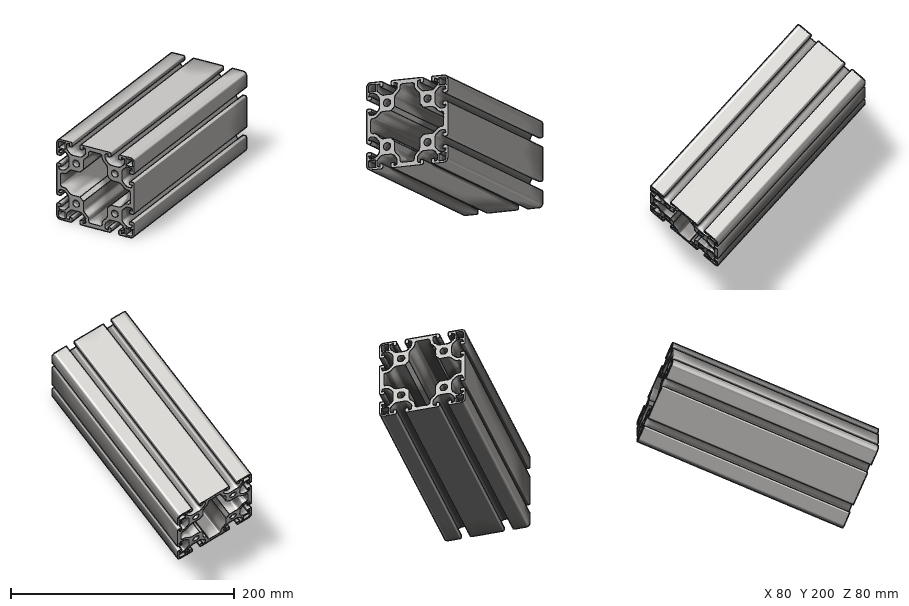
import cadquery as cq
import math

TOUCHING = 2e-06

LENGTH = 200.0
MODULE = 40.0
SIDE = 2 * MODULE
HALF_SIDE = SIDE / 2
OUTER_RADIUS = 4.0

SLOT_HALF_OPENING = 4.0
SLOT_HALF_WIDTH = 10.0
SLOT_DEPTH = 12.5
SLOT_SIDE_DEPTH = 7.8
SLOT_SHOULDER_DEPTH = 2.5
SLOT_BEND_RADIUS = 4.8
SLOT_CORNER_RADIUS = 1.5
LIP_DEPTH = 4.5
LIP_WIDTH = 3.0
LIP_OUTER_RADIUS = 1.5
LIP_INNER_RADIUS = 1.0
RELIEF_RADIUS = 0.5
MOUTH_CLEARANCE = 2.0

CHANNEL_DIAMETER = 6.8

CHAMBER_WALL = 1.8
CHAMBER_SIZE = 6.8

CAVITY_WALL = 4.0
WEB_THICKNESS = 3.0
CORE_HALF_WIDTH = 7.5
CORE_CHAMFER = 3.5
CAVITY_CORNER_RADIUS = 2.5
CAVITY_BEND_RADIUS = 5.0


def rounded_outline(corners):
    """Closed XZ outline through (x, z, radius) corners; radius 0 leaves a sharp corner."""
    pieces = []
    for i, (x, z, radius) in enumerate(corners):
        corner = cq.Vector(x, z)
        if radius == 0:
            pieces.append((corner,))
            continue
        previous = cq.Vector(*corners[i - 1][:2])
        following = cq.Vector(*corners[(i + 1) % len(corners)][:2])
        back = (previous - corner).normalized()
        ahead = (following - corner).normalized()
        half_angle = back.getAngle(ahead) / 2
        setback = radius / math.tan(half_angle)
        bulge = radius / math.sin(half_angle) - radius
        middle = corner + (back + ahead).normalized() * bulge
        pieces.append((corner + back * setback, middle, corner + ahead * setback))

    pen = pieces[0][-1]
    outline = cq.Workplane("XZ").moveTo(*pen.toTuple()[:2])
    for piece in pieces[1:] + pieces[:1]:
        if (piece[0] - pen).Length > TOUCHING:
            outline = outline.lineTo(*piece[0].toTuple()[:2])
        pen = piece[-1]
        if len(piece) == 3:
            outline = outline.threePointArc(piece[1].toTuple()[:2], piece[2].toTuple()[:2])
    return outline.close()


def prism(outline):
    """Extrude an XZ outline over the full length, centred on the origin."""
    return outline.extrude(LENGTH / 2, both=True)


def four_around(body):
    """Four copies of a body, a quarter turn apart about the bar axis."""
    copies = body
    for turn in range(1, 4):
        copies = copies.add(body.rotate((0, 0, 0), (0, 1, 0), 90 * turn))
    return copies.combine()


def slot_cutter(centre):
    """T-slot in the +Z face, centred on the given X position."""
    lip_root = SLOT_HALF_OPENING + LIP_WIDTH
    half_floor = SLOT_HALF_WIDTH - (SLOT_DEPTH - SLOT_SIDE_DEPTH)
    half_mouth = SLOT_HALF_OPENING + LIP_OUTER_RADIUS
    half_profile = [
        (half_mouth, -MOUTH_CLEARANCE, 0),
        (half_mouth, 0, 0),
        (SLOT_HALF_OPENING, 0, LIP_OUTER_RADIUS),
        (SLOT_HALF_OPENING, LIP_DEPTH, LIP_INNER_RADIUS),
        (lip_root, LIP_DEPTH, 0),
        (lip_root, SLOT_SHOULDER_DEPTH, 0),
        (SLOT_HALF_WIDTH, SLOT_SHOULDER_DEPTH, SLOT_CORNER_RADIUS),
        (SLOT_HALF_WIDTH, SLOT_SIDE_DEPTH, SLOT_BEND_RADIUS),
        (half_floor, SLOT_DEPTH, SLOT_BEND_RADIUS),
    ]
    right = [(centre + u, HALF_SIDE - depth, r) for u, depth, r in half_profile]
    left = [(centre - u, HALF_SIDE - depth, r) for u, depth, r in reversed(half_profile)]
    relief_offset = lip_root + RELIEF_RADIUS
    relief_points = [
        (centre + side * relief_offset, HALF_SIDE - SLOT_SHOULDER_DEPTH) for side in (-1, 1)
    ]
    reliefs = prism(cq.Workplane("XZ").pushPoints(relief_points).circle(RELIEF_RADIUS))
    return prism(rounded_outline(right + left)).union(reliefs)


def cavity():
    """Central cavity: every quadrant is mirror-symmetric about its diagonal."""
    slot_centre = MODULE / 2
    wall = HALF_SIDE - CAVITY_WALL
    web = slot_centre - SLOT_HALF_WIDTH - WEB_THICKNESS
    core = slot_centre - CORE_HALF_WIDTH
    slot_slope_sum = (HALF_SIDE - SLOT_SIDE_DEPTH) + (slot_centre - SLOT_HALF_WIDTH)
    slope_sum = slot_slope_sum - WEB_THICKNESS * math.sqrt(2)
    upper_half = [
        (web, wall, CAVITY_CORNER_RADIUS),
        (web, slope_sum - web, CAVITY_BEND_RADIUS),
        (core, slope_sum - core, CAVITY_BEND_RADIUS),
        (core, core + CORE_CHAMFER, 0),
    ]
    quadrant = upper_half + [(z, x, r) for x, z, r in reversed(upper_half)]
    corners = []
    for turn in range(4):
        corners += quadrant
        quadrant = [(z, -x, r) for x, z, r in quadrant]
    return prism(rounded_outline(corners))


def corner_chamber():
    """Closed chamber in the +X +Z corner, following the outer corner rounding."""
    outer = HALF_SIDE - CHAMBER_WALL
    inner = outer - CHAMBER_SIZE
    return prism(rounded_outline([
        (inner, inner, 0),
        (inner, outer, 0),
        (outer, outer, OUTER_RADIUS - CHAMBER_WALL),
        (outer, inner, 0),
    ]))


bar = cq.Workplane("XY").box(SIDE, LENGTH, SIDE).edges("|Y").fillet(OUTER_RADIUS)
channels = prism(cq.Workplane("XZ").rarray(MODULE, MODULE, 2, 2).circle(CHANNEL_DIAMETER / 2))

result = bar.cut(cavity()).cut(channels).cut(four_around(corner_chamber()))
for slot_centre in (-MODULE / 2, MODULE / 2):
    result = result.cut(four_around(slot_cutter(slot_centre)))